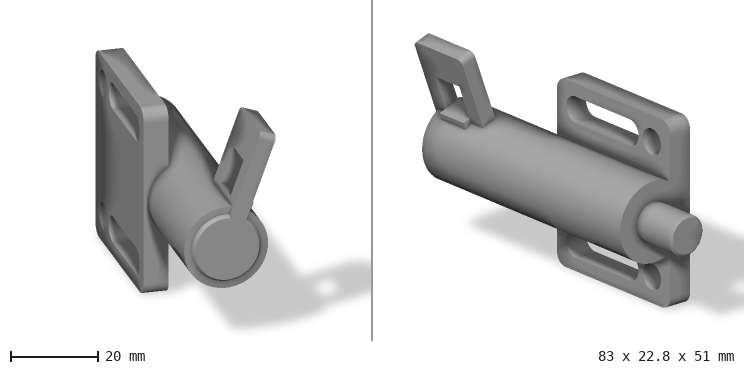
import cadquery as cq

total_length = 83.0

barrel_diameter = 20.0
barrel_start = 12.0
cap_thickness = 1.0
barrel_end = total_length - cap_thickness
plate_length = 40.0
plate_height = 46.1
plate_thickness = 6.0
plate_front = -11.0
plate_corner_radius = 3.0

hole_diameter = 6.5
hole_offset = 6.5
slot_length = 25.6
slot_offset = 24.0
hole_row_height = 16.5

rod_diameter = 10.0
rod_chamfer = 0.6
cap_base_diameter = 16.5
cap_end_diameter = 15.2

handle_lean = 20.0
handle_width = 16.9
handle_thickness = 4.0
handle_reach = 29.05
handle_corner_radius = 1.5
handle_center = total_length - handle_width / 2
window_width = 8.55
window_bottom = 11.1
window_top = 20.3
tab_depth = 1.9


def x_cylinder(diameter, start, end):
    """Cylinder around the bolt axis."""
    return cq.Workplane("YZ", origin=(start, 0, 0)).circle(diameter / 2).extrude(end - start)


def box_between(x_range, y_range, z_range):
    """Axis-aligned box between the given limits."""
    ranges = (x_range, y_range, z_range)
    size = [high - low for low, high in ranges]
    center = [(high + low) / 2 for low, high in ranges]
    return cq.Workplane().box(*size).translate(tuple(center))


def make_plate():
    """Rounded mounting plate with a hole and a slot along each long edge."""
    plate_back = plate_front + plate_thickness
    plate = box_between(
        (barrel_start, barrel_start + plate_length),
        (plate_front, plate_back),
        (-plate_height / 2, plate_height / 2),
    )
    plate = plate.edges("|Y").fillet(plate_corner_radius)
    for z in (-hole_row_height, hole_row_height):
        openings = (
            cq.Workplane("XZ", origin=(barrel_start, plate_back, z))
            .center(hole_offset, 0)
            .circle(hole_diameter / 2)
            .center(slot_offset - hole_offset, 0)
            .slot2D(slot_length, hole_diameter)
            .extrude(plate_thickness)
        )
        plate = plate.cut(openings)
    return plate


def make_housing():
    """Barrel and plate with a through bore for the bolt."""
    barrel = x_cylinder(barrel_diameter, barrel_start, barrel_end)
    bore = x_cylinder(rod_diameter, barrel_start, barrel_end)
    return barrel.union(make_plate()).cut(bore)


def make_handle():
    """Leaning windowed handle whose foot follows the barrel surface."""
    half_thickness = handle_thickness / 2
    handle = box_between(
        (total_length - handle_width, total_length),
        (-half_thickness, half_thickness),
        (0, handle_reach),
    )
    handle = handle.edges("|Y and >Z").fillet(handle_corner_radius)
    window_sides = (handle_center - window_width / 2, handle_center + window_width / 2)
    window = box_between(window_sides, (-half_thickness, half_thickness), (window_bottom, window_top))
    tab = box_between(window_sides, (half_thickness, half_thickness + tab_depth), (0, window_bottom))
    handle = handle.cut(window).union(tab)
    handle = handle.rotate((0, 0, 0), (1, 0, 0), -handle_lean)
    return handle.cut(x_cylinder(barrel_diameter, 0, barrel_end))


def make_bolt():
    """Rod, end cap and handle as one moving piece."""
    rod = x_cylinder(rod_diameter, 0, total_length).faces("<X").chamfer(rod_chamfer)
    cap = (
        cq.Workplane("YZ", origin=(barrel_end, 0, 0))
        .circle(cap_base_diameter / 2)
        .workplane(offset=cap_thickness)
        .circle(cap_end_diameter / 2)
        .loft()
    )
    return rod.union(cap).union(make_handle())


housing = make_housing()
bolt = make_bolt()

result = cq.Compound.makeCompound([housing.val(), bolt.val()])